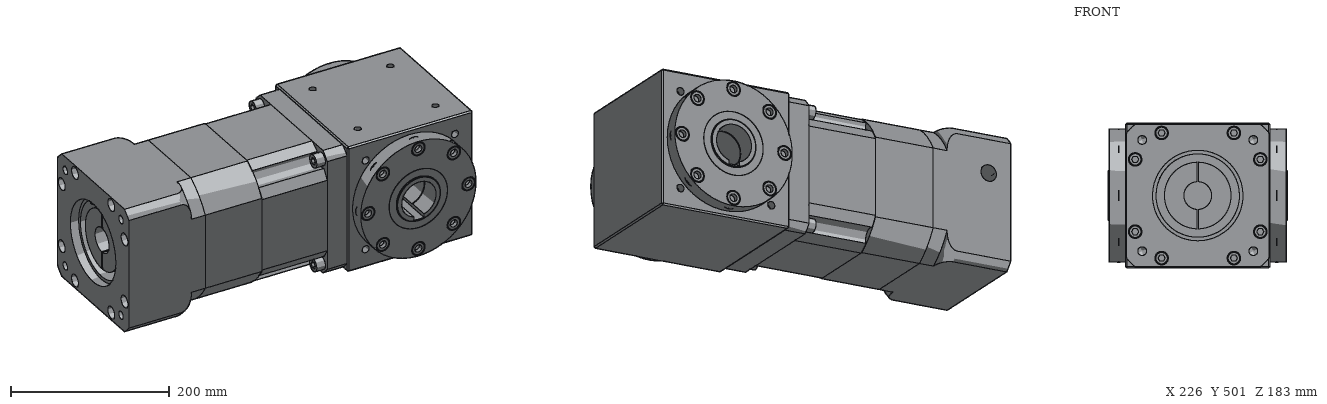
import cadquery as cq
import math

OVERALL_LENGTH = 501.0
HOUSING_SIDE = 183.0
HOUSING_CHAMFER = 2.0
FLANGE_RADIUS = 84.0
FLANGE_FACE_X = 111.5
SHAFT_END_X = 226.0 / 2
SHAFT_RADIUS = 32.0
SHAFT_CHAMFER = 1.0
SEAL_RADIUS = 42.5
SEAL_DEPTH = 0.5
BORE_RADIUS = 25.0
BORE_RELIEF_RADIUS = 26.0
BORE_LAND_LENGTH = 30.0
KEYWAY_WIDTH = 15.0
KEYWAY_BOTTOM = 29.0

FLANGE_SCREW_COUNT = 8
FLANGE_SCREW_CIRCLE = 73.0
FLANGE_RECESS_RADIUS = 19.5 / 2
FLANGE_RECESS_DEPTH = 12.5
FLANGE_UNDERCUT_RADIUS = 22.5 / 2
FLANGE_UNDERCUT_WIDTH = 0.5
FLANGE_HEAD_RADIUS = 8.5
FLANGE_SOCKET_RADIUS = 5.0

SIDE_HOLE_OFFSET = 65.0
SIDE_HOLE_RADIUS = 5.0
TOP_HOLE_OFFSET = 56.5
TOP_HOLE_RADIUS = 4.5
TAPPED_DEPTH = 12.5
DRILL_TIP_ANGLE = 118

STAGE_SIDE = 180.0
HOUSING_END_Y = -HOUSING_SIDE / 2
MOUNT_PLATE_END_Y = -120.0
RING_GEAR_END_Y = -215.5
SPACER_END_Y = -298.0
ADAPTER_END_Y = HOUSING_SIDE / 2 - OVERALL_LENGTH
WIDE_CORNER_RADIUS = 119.5
RING_GEAR_CORNER_RADIUS = 103.5
SPACER_CORNER_RADIUS = 104.5

CORNER_SCREW_OFFSET = 76.0
CORNER_HEAD_RADIUS = 9.0
CORNER_HEAD_LENGTH = 12.5
CORNER_SOCKET_RADIUS = 5.0
CORNER_SOCKET_DEPTH = 6.0
FLUTE_RADIUS = 12.5

SHOULDER_Y = -318.0
PILOT_RADIUS = 57.0
PILOT_DEPTH = 12.0
CAVITY_RADIUS = 52.5
CAVITY_DEPTH = 75.0
HUB_RADIUS = 42.0
HUB_FACE_DEPTH = 13.0
HUB_BORE_RADIUS = 17.5
HUB_SLIT_WIDTH = 2.5
ACCESS_HOLE_RADIUS = 11.0
ACCESS_HOLE_Y = -378.0
ACCESS_HOLE_Z = 34.0
ADAPTER_SCREW_CIRCLE = 91.0
ADAPTER_SCREW_ANGLES = [30, 60, 120, 150, 210, 240, 300, 330]
ADAPTER_RECESS_RADIUS = 8.5
ADAPTER_RECESS_DEPTH = 20.0
ADAPTER_HEAD_RADIUS = 14.5 / 2
ADAPTER_HEAD_LENGTH = 7.0
ADAPTER_SOCKET_RADIUS = 4.5
ADAPTER_SOCKET_DEPTH = 5.0
MOTOR_HOLE_OFFSET = 70.0
MOTOR_HOLE_RADIUS = 5.5

QUADRANTS = [(1, 1), (1, -1), (-1, 1), (-1, -1)]


def cylinder_y(radius, y_start, y_end, x=0, z=0):
    """Cylinder along Y from y_start down to y_end."""
    solid = cq.Solid.makeCylinder(radius, y_start - y_end, cq.Vector(x, y_start, z), cq.Vector(0, -1, 0))
    return cq.Workplane(obj=solid)


def cylinder_x(radius, x_start, x_end):
    """Cylinder along X on the hollow shaft's axis."""
    return cq.Workplane("YZ", origin=(x_start, 0, 0)).circle(radius).extrude(x_end - x_start)


def drilled_hole(mouth, inward, radius, depth):
    """Cutter for a blind hole with a conical drill tip."""
    start = cq.Vector(*mouth)
    direction = cq.Vector(*inward)
    tip_length = radius / math.tan(math.radians(DRILL_TIP_ANGLE / 2))
    barrel = cq.Solid.makeCylinder(radius, depth, start, direction)
    tip = cq.Solid.makeCone(radius, 0, tip_length, start + direction * depth, direction)
    return cq.Workplane(obj=barrel).union(cq.Workplane(obj=tip))


def hex_socket_y(radius, y_mouth, depth, x, z):
    """Cutter for a hexagon socket that opens toward -Y."""
    plane = cq.Workplane("XZ", origin=(x, y_mouth, z))
    return plane.polygon(6, 2 * radius).extrude(-depth)


def stage_block(corner_radius, y_start, y_end):
    """Square bar along Y whose corners are turned to a radius about its axis."""
    length = y_start - y_end
    bar = cq.Workplane("XY").box(STAGE_SIDE, length, STAGE_SIDE).translate((0, y_start - length / 2, 0))
    return bar.intersect(cylinder_y(corner_radius, y_start, y_end))


def flange_half():
    """Flange, seal ring and shaft end on the +X side."""
    flange = cylinder_x(FLANGE_RADIUS, 0, FLANGE_FACE_X)
    seal_recess = cylinder_x(SEAL_RADIUS, FLANGE_FACE_X - SEAL_DEPTH, FLANGE_FACE_X)
    shaft = cylinder_x(SHAFT_RADIUS, 0, SHAFT_END_X).faces(">X").chamfer(SHAFT_CHAMFER)
    half = flange.cut(seal_recess)
    recess_floor_x = FLANGE_FACE_X - FLANGE_RECESS_DEPTH
    for index in range(FLANGE_SCREW_COUNT):
        angle = 2 * math.pi * index / FLANGE_SCREW_COUNT
        y = FLANGE_SCREW_CIRCLE * math.cos(angle)
        z = FLANGE_SCREW_CIRCLE * math.sin(angle)
        floor = cq.Workplane("YZ", origin=(recess_floor_x, y, z))
        head = floor.circle(FLANGE_HEAD_RADIUS).extrude(FLANGE_RECESS_DEPTH)
        recess = floor.circle(FLANGE_RECESS_RADIUS).extrude(FLANGE_RECESS_DEPTH)
        undercut = floor.circle(FLANGE_UNDERCUT_RADIUS).extrude(FLANGE_UNDERCUT_WIDTH)
        clearance = recess.union(undercut).cut(head)
        socket = drilled_hole((FLANGE_FACE_X, y, z), (-1, 0, 0), FLANGE_SOCKET_RADIUS, FLANGE_RECESS_DEPTH / 2)
        half = half.cut(clearance).cut(socket)
    return half.union(shaft)


def make_housing():
    """Bevel gearbox housing with both flanges and the keyed hollow shaft."""
    box = cq.Workplane("XY").box(HOUSING_SIDE, HOUSING_SIDE, HOUSING_SIDE).edges().chamfer(HOUSING_CHAMFER)
    right_flange = flange_half()
    body = box.union(right_flange).union(right_flange.mirror("YZ"))

    bore = cylinder_x(BORE_RADIUS, -SHAFT_END_X, SHAFT_END_X)
    relief_end_x = SHAFT_END_X - BORE_LAND_LENGTH
    relief = cylinder_x(BORE_RELIEF_RADIUS, -relief_end_x, relief_end_x)
    keyway = (
        cq.Workplane("XY")
        .box(2 * SHAFT_END_X, KEYWAY_WIDTH, KEYWAY_BOTTOM)
        .translate((0, 0, -KEYWAY_BOTTOM / 2))
    )
    body = body.cut(bore).cut(relief).cut(keyway)

    face = HOUSING_SIDE / 2
    for side_a, side_b in QUADRANTS:
        y = side_a * SIDE_HOLE_OFFSET
        z = side_b * SIDE_HOLE_OFFSET
        for side in (-1, 1):
            body = body.cut(drilled_hole((side * face, y, z), (-side, 0, 0), SIDE_HOLE_RADIUS, TAPPED_DEPTH))
        mouth = (side_a * TOP_HOLE_OFFSET, side_b * TOP_HOLE_OFFSET, face)
        body = body.cut(drilled_hole(mouth, (0, 0, -1), TOP_HOLE_RADIUS, TAPPED_DEPTH))
    return body


def make_mount_plate():
    """Plate against the housing, with the heads of its four corner screws."""
    plate = stage_block(WIDE_CORNER_RADIUS, HOUSING_END_Y, MOUNT_PLATE_END_Y)
    head_end_y = MOUNT_PLATE_END_Y - CORNER_HEAD_LENGTH
    for side_x, side_z in QUADRANTS:
        x = side_x * CORNER_SCREW_OFFSET
        z = side_z * CORNER_SCREW_OFFSET
        plate = plate.union(cylinder_y(CORNER_HEAD_RADIUS, MOUNT_PLATE_END_Y, head_end_y, x, z))
        plate = plate.cut(hex_socket_y(CORNER_SOCKET_RADIUS, head_end_y, CORNER_SOCKET_DEPTH, x, z))
    return plate


def make_ring_gear():
    """Ring gear with a flute along each corner that clears the corner screws."""
    ring = stage_block(RING_GEAR_CORNER_RADIUS, MOUNT_PLATE_END_Y, RING_GEAR_END_Y)
    for side_x, side_z in QUADRANTS:
        x = side_x * CORNER_SCREW_OFFSET
        z = side_z * CORNER_SCREW_OFFSET
        ring = ring.cut(cylinder_y(FLUTE_RADIUS, MOUNT_PLATE_END_Y, RING_GEAR_END_Y, x, z))
    return ring


def make_spacer():
    """Plain section between the ring gear and the motor adapter."""
    return stage_block(SPACER_CORNER_RADIUS, RING_GEAR_END_Y, SPACER_END_Y)


def adapter_blank():
    """Adapter outline: narrow corners, then a rounded shoulder out to the wide corners."""
    neck = stage_block(SPACER_CORNER_RADIUS, SPACER_END_Y, SHOULDER_Y)
    round_radius = WIDE_CORNER_RADIUS - SPACER_CORNER_RADIUS
    envelope = cylinder_y(WIDE_CORNER_RADIUS, SHOULDER_Y, ADAPTER_END_Y).faces(">Y").edges().fillet(round_radius)
    return neck.union(stage_block(WIDE_CORNER_RADIUS, SHOULDER_Y, ADAPTER_END_Y).intersect(envelope))


def make_adapter():
    """Motor adapter with its pilot, slit clamping hub, access hole and front holes."""
    body = adapter_blank()

    hub_face_y = ADAPTER_END_Y + HUB_FACE_DEPTH
    cavity_floor_y = ADAPTER_END_Y + CAVITY_DEPTH
    body = body.cut(cylinder_y(PILOT_RADIUS, ADAPTER_END_Y + PILOT_DEPTH, ADAPTER_END_Y))
    body = body.cut(cylinder_y(CAVITY_RADIUS, cavity_floor_y, ADAPTER_END_Y))

    access_hole = (
        cq.Workplane("YZ", origin=(-STAGE_SIDE / 2, ACCESS_HOLE_Y, ACCESS_HOLE_Z))
        .circle(ACCESS_HOLE_RADIUS)
        .extrude(STAGE_SIDE / 2)
    )
    body = body.cut(access_hole)

    hub_length = cavity_floor_y - hub_face_y
    slit = (
        cq.Workplane("XY")
        .box(HUB_SLIT_WIDTH, hub_length, 2 * HUB_RADIUS)
        .translate((0, hub_face_y + hub_length / 2, 0))
    )
    hub = cylinder_y(HUB_RADIUS, cavity_floor_y, hub_face_y)
    hub = hub.cut(cylinder_y(HUB_BORE_RADIUS, cavity_floor_y, hub_face_y)).cut(slit)
    body = body.union(hub)

    recess_floor_y = ADAPTER_END_Y + ADAPTER_RECESS_DEPTH
    head_end_y = recess_floor_y - ADAPTER_HEAD_LENGTH
    for angle in ADAPTER_SCREW_ANGLES:
        x = ADAPTER_SCREW_CIRCLE * math.cos(math.radians(angle))
        z = ADAPTER_SCREW_CIRCLE * math.sin(math.radians(angle))
        recess = cylinder_y(ADAPTER_RECESS_RADIUS, recess_floor_y, ADAPTER_END_Y, x, z)
        head = cylinder_y(ADAPTER_HEAD_RADIUS, recess_floor_y, head_end_y, x, z)
        body = body.cut(recess.cut(head))
        body = body.cut(hex_socket_y(ADAPTER_SOCKET_RADIUS, head_end_y, ADAPTER_SOCKET_DEPTH, x, z))

    for side_x, side_z in QUADRANTS:
        mouth = (side_x * MOTOR_HOLE_OFFSET, ADAPTER_END_Y, side_z * MOTOR_HOLE_OFFSET)
        body = body.cut(drilled_hole(mouth, (0, 1, 0), MOTOR_HOLE_RADIUS, TAPPED_DEPTH))
    return body


housing = make_housing()
mount_plate = make_mount_plate()
ring_gear = make_ring_gear()
spacer = make_spacer()
adapter = make_adapter()

result = cq.Compound.makeCompound(
    [housing.val(), mount_plate.val(), ring_gear.val(), spacer.val(), adapter.val()]
)